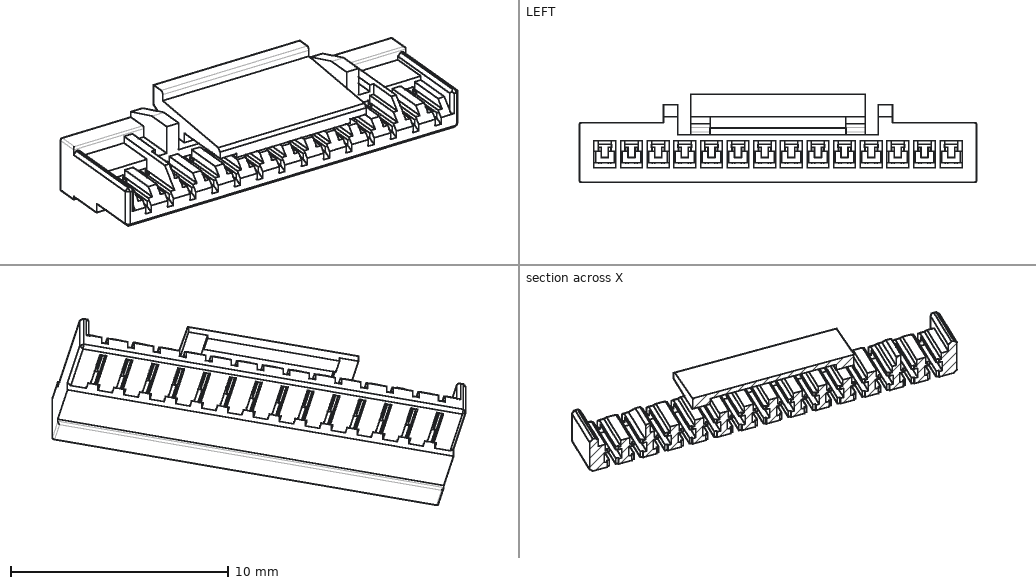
import cadquery as cq
import math

circuits = 14
pitch = 1.225
end_margin = 1.1675
half_width = (circuits - 1) * pitch / 2 + end_margin

collar_length = 1.10
block_end = 3.03
length = 5.60
slot_end = 5.25

block_bottom = 0.22
plug_bottom = 0.54
plateau_top = 2.00
roof_top = 2.20
wall_top = 2.54
collar_top = 2.75
rib_top = 3.58
lever_top = 4.06

collar_round = 0.10
end_wall_width = 0.44
plug_chamfer = 0.16
nose_angle = 48.0
nose_start = 4.52
latch_guard_inner = 4.61
latch_guard_width = 0.66
guard_front_height = 3.03
guard_ramp_length = 1.75
guide_rib_nose_width = 0.26

mouth_width = 1.00
mouth_floor = 0.68
mouth_top = 1.92
chamber_width = 0.86
chamber_floor = 0.90
floor_step = 2.40
lead_in_length = 1.35
groove_lead_in_length = 1.00
chamber_top = 1.43
groove_width = 0.60
groove_top = 1.75
channel_width = 0.76
lip_top = 1.62
lip_start = 3.36
slot_width = 0.31
window_width = 0.55
sill_top = 1.15
sill_drop = 0.15

guide_rib_outer = (circuits - 3) / 2 * pitch - channel_width / 2
guide_rib_inner = (circuits - 5) / 2 * pitch + channel_width / 2

lever_half_width = 4.02
arm_width = 0.90
pad_length = 0.77
pad_round = 0.15
lever_shoulder = 3.58
lever_tail = 3.19
tail_chamfer = 0.16
web_bottom = 3.03
arm_bottom = 2.69
arm_slope_end = 0.70
neck_front = 1.60
neck_back = 2.60
neck_crown_round = 0.16
neck_foot_round = 0.13
hook_start = 4.87
hook_bottom = 2.49


def box(x0, x1, y0, y1, z0, z1):
    """Box between two opposite corners."""
    return cq.Workplane("XY").box(x1 - x0, y1 - y0, z1 - z0, centered=False).translate((x0, y0, z0))


def slab(points, y0, y1):
    """Extrude an XZ outline from y0 to y1."""
    return cq.Workplane("XZ", origin=(0, y1, 0)).polyline(points).close().extrude(y1 - y0)


def both_ends(shape):
    """The shape together with its mirror image across the XZ plane."""
    return shape.union(shape.mirror("XZ"))


def make_collar():
    """Flange with rounded ends and rounded long rear edges; its end faces stay flush with the plug."""
    blank = box(0, collar_length, -half_width, half_width, 0, collar_top)
    rounded_ends = blank.edges("|X").fillet(collar_round)
    rounded_rear = blank.edges("|Y and >X").fillet(collar_round)
    return rounded_ends.intersect(rounded_rear)


def make_plug():
    """Chamfered housing body, hollowed to end walls, roof block and channel walls."""
    plug = box(0, length, -half_width, half_width, plug_bottom, wall_top)
    plug = plug.edges("|X or >X").chamfer(plug_chamfer)
    block = box(0, block_end, -half_width, half_width, block_bottom, plug_bottom + plug_chamfer)

    inner = half_width - end_wall_width
    trough = box(0, length, -inner, inner, plateau_top, wall_top)
    rim = (cq.Workplane("YZ").polyline([
        (-inner, wall_top - plug_chamfer), (inner, wall_top - plug_chamfer),
        (inner + plug_chamfer, wall_top), (-inner - plug_chamfer, wall_top),
    ]).close().extrude(length))
    roof = box(0, block_end, -inner, inner, plateau_top, roof_top)
    plug = plug.cut(trough).cut(rim).union(block).union(roof)

    outer = guide_rib_outer
    guide = box(0, block_end, guide_rib_inner, outer, roof_top, wall_top)
    guide_nose = box(block_end, length, outer - guide_rib_nose_width, outer, plateau_top, wall_top)
    plug = plug.union(both_ends(guide.union(guide_nose)))

    nose_drop = (length - nose_start) * math.tan(math.radians(nose_angle))
    nose_end = wall_top - nose_drop
    nose = [(nose_start, wall_top), (length, nose_end), (length, wall_top)]
    plug = plug.cut(slab(nose, -inner, inner))

    flare = (cq.Workplane("XY", origin=(0, 0, nose_end)).polyline([
        (length - plug_chamfer, inner), (length, inner + plug_chamfer), (length, inner),
    ]).close().extrude(nose_drop))
    return plug.cut(both_ends(flare))


def make_latch_guards():
    """Ramped guards standing on the roof on both sides of the lever."""
    outline = [
        (0, roof_top), (0, guard_front_height), (guard_ramp_length, rib_top),
        (block_end, rib_top), (block_end, roof_top),
    ]
    guard = slab(outline, latch_guard_inner, latch_guard_inner + latch_guard_width)
    return both_ends(guard)


def make_cavity():
    """Everything removed for one terminal, centred on Y = 0."""
    def centred(points, width):
        return slab(points, -width / 2, width / 2)

    def centred_box(x0, x1, width, z0, z1):
        return box(x0, x1, -width / 2, width / 2, z0, z1)

    def passage(end, width, ceiling, lead_in):
        """Passage from the mouth to X = end, with stepped floor and sloping lead-in ceiling."""
        return centred([
            (0, mouth_floor), (floor_step, mouth_floor), (floor_step, chamber_floor),
            (end, chamber_floor), (end, ceiling), (lead_in, ceiling), (0, mouth_top),
        ], width)

    mouth = passage(block_end, mouth_width, chamber_top, lead_in_length)
    groove = passage(block_end, groove_width, groove_top, groove_lead_in_length)
    chamber = centred_box(block_end, slot_end, chamber_width, chamber_floor, chamber_top)
    channel = centred_box(block_end, length, channel_width, lip_top, wall_top)
    lip_slot = centred_box(block_end, slot_end, slot_width, 0, lip_top)
    window = centred_box(block_end, lip_start, window_width, 0, lip_top)
    sill = centred([
        (slot_end, sill_top), (length, sill_top - sill_drop), (length, lip_top), (slot_end, lip_top),
    ], slot_width)
    return mouth.union(groove).union(chamber).union(channel).union(lip_slot).union(window).union(sill)


def make_lever():
    """Latch lever: thin web with a thumb pad, two arms on necks and a hook bar."""
    top = [
        (length, lever_tail - tail_chamfer), (length - tail_chamfer, lever_tail),
        (pad_length, lever_shoulder), (pad_length, lever_top), (0, lever_top), (0, web_bottom),
    ]
    web = slab(top + [(length, web_bottom)], -lever_half_width, lever_half_width)
    web = web.edges("|Y").edges(cq.selectors.NearestToPointSelector((pad_length, 0, lever_top)))
    web = web.fillet(pad_round)

    gap = lever_half_width - arm_width
    crown_edge = cq.selectors.NearestToPointSelector((neck_front, gap + arm_width / 2, arm_bottom))
    arm = slab([
        (0, web_bottom), (arm_slope_end, arm_bottom), (neck_front, arm_bottom), (neck_front, roof_top),
        (neck_back, roof_top), (neck_back, arm_bottom), (length, arm_bottom), (length, web_bottom),
    ], gap, lever_half_width)
    arm = arm.edges("|Y").edges(crown_edge).fillet(neck_crown_round)
    foot = (cq.Workplane("XZ", origin=(0, lever_half_width, 0))
            .moveTo(neck_front, roof_top)
            .lineTo(neck_front - neck_foot_round, roof_top)
            .radiusArc((neck_front, roof_top + neck_foot_round), -neck_foot_round)
            .close().extrude(arm_width))

    hook = box(hook_start, length, -gap, gap, hook_bottom, web_bottom)
    return web.union(both_ends(arm.union(foot))).union(hook)


housing = make_collar().union(make_plug())

housing = housing.cut(box(0, collar_length, -latch_guard_inner, latch_guard_inner, roof_top, collar_top))

housing = housing.union(make_latch_guards())

cavity = make_cavity()
for index in range(circuits):
    offset = (index - (circuits - 1) / 2) * pitch
    housing = housing.cut(cavity.translate((0, offset, 0)))

result = housing.union(make_lever())